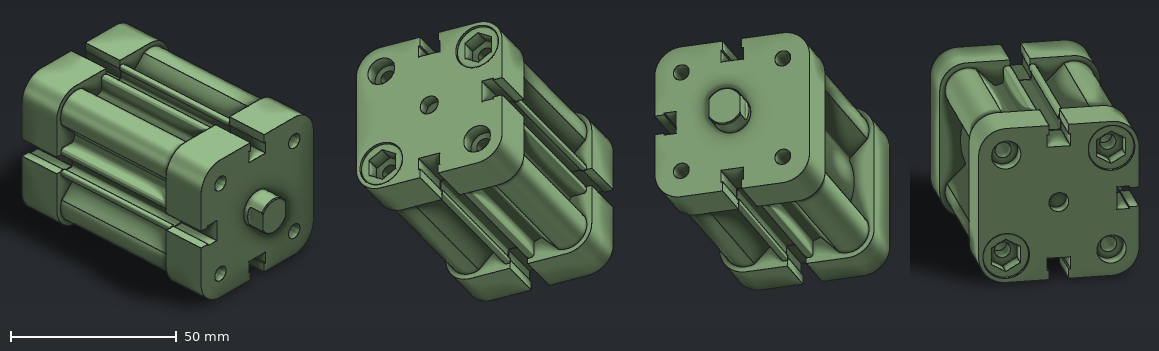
import cadquery as cq
import math

side = 49.5
total_length = 81.5
housing_length = 74.5
cap_length = 14.5
cap_corner_radius = 8.5
barrel_length = housing_length - 2 * cap_length
screw_offset = 16.2

screw_corners = [(-screw_offset, screw_offset), (screw_offset, -screw_offset)]
plain_corners = [(-screw_offset, -screw_offset), (screw_offset, screw_offset)]
corner_axes = screw_corners + plain_corners

edge_tolerance = 0.01

barrel_radius = 18.3
column_radius = 6.85
column_flat_distance = 6.35
valley_fillet = 1.0
rail_top = 22.9
rail_half_width = 5.1
rail_outer_round = 1.15
rail_inner_round = 0.53
rail_foot_fillet = 0.9

slot_angles = (0, 90, 180)
barrel_slot_mouth = 2.8
barrel_slot_inside = 3.35
barrel_slot_lip = 21.4
barrel_slot_floor = 18.1
barrel_slot_floor_fillet = 0.5
cap_slot_mouth = 3.0
cap_slot_inside = 3.6
cap_slot_lip = 21.7
cap_slot_floor = 17.85

bolt_bore = 5.0
bolt_counterbore = 9.0
bolt_counterbore_depth = 4.7
center_hole = 6.0
center_hole_depth = 4.0

screw_diameter = 14.0
screw_clearance = 0.2
screw_length = 11.4
screw_recess = 0.65
screw_seat_diameter = screw_diameter + 2 * screw_clearance
hex_across_flats = 9.0
hex_across_corners = hex_across_flats / math.cos(math.pi / 6)
hex_depth = 5.2

rod_diameter = 12.0
rod_across_flats = 10.0
rod_flat_start = 1.6
rod_flat_fillet = 0.6
rod_tip_chamfer = 0.3
rod_seat_depth = cap_length


def yz_plane(x):
    """Workplane across the part at X = x, with local axes Y and Z."""
    return cq.Workplane("YZ", origin=(x, 0, 0))


def slot_cutter(x, length, mouth, inside, lip, floor, floor_fillet=0):
    """T-shaped slot open towards +Z."""
    neck = yz_plane(x).center(0, (floor + side) / 2).rect(2 * mouth, side - floor).extrude(length)
    wide = yz_plane(x).center(0, (floor + lip) / 2).rect(2 * inside, lip - floor).extrude(length)
    if floor_fillet > 0:
        wide = wide.edges("|X and <Z").fillet(floor_fillet)
    return neck.union(wide)


def cut_slots(body, cutter):
    for angle in slot_angles:
        body = body.cut(cutter.rotate((0, 0, 0), (1, 0, 0), angle))
    return body


def make_cap(x):
    cap = yz_plane(x).rect(side, side).extrude(cap_length)
    cap = cap.edges("|X").fillet(cap_corner_radius)
    cutter = slot_cutter(x, cap_length, cap_slot_mouth, cap_slot_inside, cap_slot_lip, cap_slot_floor)
    return cut_slots(cap, cutter)


def make_column():
    """Column along +Y with two flats and a round outer face, ready to be turned into a corner."""
    axis = screw_offset * math.sqrt(2)
    flat_end = axis + math.sqrt(column_radius**2 - column_flat_distance**2)
    return (
        yz_plane(cap_length)
        .moveTo(0, -column_flat_distance)
        .lineTo(flat_end, -column_flat_distance)
        .threePointArc((axis + column_radius, 0), (flat_end, column_flat_distance))
        .lineTo(0, column_flat_distance)
        .close()
        .extrude(barrel_length)
    )


def make_rail_block():
    """Block on the +Z side that the slot splits into two rails."""
    block = yz_plane(cap_length).center(0, rail_top / 2).rect(2 * rail_half_width, rail_top)
    block = block.extrude(barrel_length)
    return block.edges("|X and >Z").fillet(rail_outer_round)


def is_on_barrel_wall(edge):
    center = edge.Center()
    return math.isclose(math.hypot(center.y, center.z), barrel_radius, abs_tol=edge_tolerance)


def is_rail_foot(edge):
    center = edge.Center()
    nearer_plane = min(abs(center.y), abs(center.z))
    return is_on_barrel_wall(edge) and math.isclose(nearer_plane, rail_half_width, abs_tol=edge_tolerance)


def is_slot_mouth(edge):
    center = edge.Center()
    nearer_plane, farther_plane = sorted((abs(center.y), abs(center.z)))
    return math.isclose(nearer_plane, barrel_slot_mouth, abs_tol=edge_tolerance) and math.isclose(
        farther_plane, rail_top, abs_tol=edge_tolerance
    )


def make_barrel():
    barrel = yz_plane(cap_length).circle(barrel_radius).extrude(barrel_length)
    barrel = barrel.rotate((0, 0, 0), (1, 0, 0), 45)
    for angle in (45, 135, 225, 315):
        barrel = barrel.union(make_column().rotate((0, 0, 0), (1, 0, 0), angle))
    barrel = barrel.edges("|X").filter(is_on_barrel_wall).fillet(valley_fillet)

    for angle in slot_angles:
        barrel = barrel.union(make_rail_block().rotate((0, 0, 0), (1, 0, 0), angle))
    barrel = barrel.edges("|X").filter(is_rail_foot).fillet(rail_foot_fillet)

    cutter = slot_cutter(
        cap_length,
        barrel_length,
        barrel_slot_mouth,
        barrel_slot_inside,
        barrel_slot_lip,
        barrel_slot_floor,
        barrel_slot_floor_fillet,
    )
    barrel = cut_slots(barrel, cutter)
    return barrel.edges("|X").filter(is_slot_mouth).fillet(rail_inner_round)


def make_housing():
    housing = make_cap(0).union(make_barrel()).union(make_cap(housing_length - cap_length))

    bores = yz_plane(0).pushPoints(corner_axes).circle(bolt_bore / 2).extrude(housing_length)
    counterbores = (
        yz_plane(0).pushPoints(plain_corners).circle(bolt_counterbore / 2).extrude(bolt_counterbore_depth)
    )
    screw_seat_depth = screw_recess + screw_length
    screw_seats = yz_plane(0).pushPoints(screw_corners).circle(screw_seat_diameter / 2)
    screw_seats = screw_seats.extrude(screw_seat_depth)
    housing = housing.cut(bores).cut(counterbores).cut(screw_seats)

    rear_hole = yz_plane(0).circle(center_hole / 2).extrude(center_hole_depth)
    rod_seat = yz_plane(housing_length).circle(rod_diameter / 2).extrude(-rod_seat_depth)
    return housing.cut(rear_hole).cut(rod_seat)


def make_collar_screw(y, z):
    start = cq.Workplane("YZ", origin=(screw_recess, y, z))
    screw = start.circle(screw_diameter / 2).extrude(screw_length)
    socket = start.transformed(rotate=(0, 0, 90)).polygon(6, hex_across_corners).extrude(hex_depth)
    bore = start.circle(bolt_bore / 2).extrude(screw_length)
    return screw.cut(socket).cut(bore)


def make_rod():
    start = housing_length - rod_seat_depth
    rod = yz_plane(start).circle(rod_diameter / 2).extrude(total_length - start)
    rod = rod.faces(">X").chamfer(rod_tip_chamfer)

    flat_cutter = (
        cq.Workplane("XY")
        .box(total_length, rod_diameter, 2 * rod_diameter, centered=(False, False, True))
        .edges("|Z and <X and <Y")
        .fillet(rod_flat_fillet)
        .translate((housing_length + rod_flat_start, rod_across_flats / 2, 0))
    )
    return rod.cut(flat_cutter).cut(flat_cutter.mirror("XZ"))


housing = make_housing()
piston_rod = make_rod()
collar_screws = [make_collar_screw(y, z) for y, z in screw_corners]

result = cq.Compound.makeCompound(
    [housing.val(), piston_rod.val(), *[screw.val() for screw in collar_screws]]
)